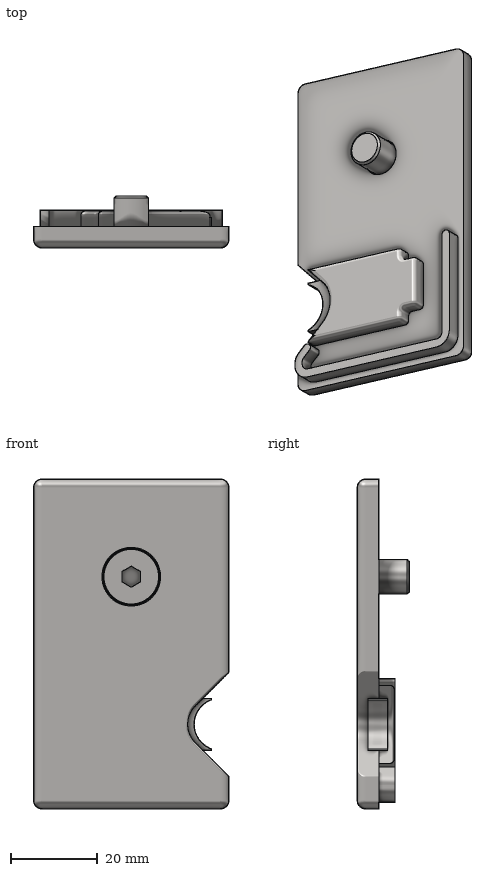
import cadquery as cq
import math


plate_width = 45.0
plate_height = 76.0
plate_depth = 5.0
plate_round = 2.0
plate_front_y = -plate_depth
plate_right = plate_width / 2
plate_bottom = -plate_height / 2

notch_z = -18.5
notch_tip_x = 10.5
notch_radius = 6.0
notch_edge_round = 0.5
notch_half_height = plate_right - notch_tip_x
diagonal = math.sqrt(2)

rib_inset = 1.5
rib_width = 2.0
rib_depth = 3.75
rib_corner_radius = 3.5
rib_left_top_z = -8.0
rib_right_end_x = 17.75

screw_z = 15.5
head_diameter = 13.0
head_height = 3.0
head_edge_chamfer = 0.2
head_pocket_diameter = 13.5
shank_diameter = 8.0
shank_hole_diameter = 8.4
shank_end_y = 7.0
shank_end_chamfer = 0.5
hex_across_flats = 4.2
hex_depth = 3.0

holder_depth = 3.5
holder_height = 18.0
holder_notch_gap = 1.0
holder_round = 1.0
shoulder_x = -7.6
tail_left_x = -11.6
tail_height = 12.0

blade_width = 12.0
blade_front_y = -2.5
blade_back_y = 2.0
blade_left_x = -4.0
blade_right_x = 18.5
mouth_radius = 6.0
mouth_x = 20.5

margin = 0.1


def rear_face(y):
    """Drawing plane at the given y, with X right and Z up; extrusions run from it towards the front (-Y)."""
    return cq.Workplane("XZ", origin=(0, y, 0))


def bar(x_left, x_right, y_front, y_back, height):
    """Box between the given X and Y limits, centred on the height of the notch."""
    return (
        rear_face(y_back)
        .center((x_left + x_right) / 2, notch_z)
        .rect(x_right - x_left, height)
        .extrude(y_back - y_front)
    )


def screw_disc(diameter, y_front, y_back):
    """Cylinder on the screw axis."""
    return rear_face(y_back).center(0, screw_z).circle(diameter / 2).extrude(y_back - y_front)


def notch_tool(gap, y_front, y_back):
    """Solid that cuts the notch, with its walls moved outwards by gap."""
    tip_x = notch_tip_x - gap * diagonal
    reach = plate_width
    wedge = (
        rear_face(y_back)
        .moveTo(tip_x, notch_z)
        .lineTo(tip_x + reach, notch_z + reach)
        .lineTo(tip_x + reach, notch_z - reach)
        .close()
        .extrude(y_back - y_front)
    )
    return wedge.edges("|Y and <X").fillet(notch_radius + gap)


def make_rib():
    """Strip down the left side, along the bottom, up the right side and back along the lower notch flank."""
    half = rib_width / 2
    side_x = plate_right - rib_inset - half
    bottom_z = plate_bottom + rib_inset + half
    bend = rib_corner_radius - half
    bend_mid = bend * (1 - 1 / diagonal)

    flank_sum = notch_tip_x + notch_z - (rib_inset + half) * diagonal
    half_turn = math.radians(45 / 2)
    turn_length = bend * math.tan(half_turn)
    turn_start_z = flank_sum - side_x - turn_length
    turn_mid_x = side_x - bend * (1 - math.cos(half_turn))
    turn_mid_z = turn_start_z + bend * math.sin(half_turn)
    turn_end_x = side_x - turn_length / diagonal

    centerline = (
        rear_face(rib_depth)
        .moveTo(-side_x, rib_left_top_z - half)
        .lineTo(-side_x, bottom_z + bend)
        .threePointArc((-side_x + bend_mid, bottom_z + bend_mid), (-side_x + bend, bottom_z))
        .lineTo(side_x - bend, bottom_z)
        .threePointArc((side_x - bend_mid, bottom_z + bend_mid), (side_x, bottom_z + bend))
        .lineTo(side_x, turn_start_z)
        .threePointArc((turn_mid_x, turn_mid_z), (turn_end_x, flank_sum - turn_end_x))
        .lineTo(rib_right_end_x, flank_sum - rib_right_end_x)
        .wire()
    )
    return centerline.offset2D(half).extrude(rib_depth)


def make_blank():
    """Plate with rounded corners, rounded front edges and the notch with its rounded front edge."""
    blank = (
        rear_face(0)
        .rect(plate_width, plate_height)
        .extrude(plate_depth)
        .edges("|Y")
        .fillet(plate_round)
        .faces("<Y")
        .edges()
        .fillet(plate_round)
        .cut(notch_tool(0, plate_front_y, 0))
    )
    notch_box = cq.selectors.BoxSelector(
        (notch_tip_x, plate_front_y - margin, notch_z - notch_half_height),
        (plate_right, plate_front_y + margin, notch_z + notch_half_height),
    )
    return blank.faces("<Y").edges(notch_box).edges("not(|Z)").fillet(notch_edge_round)


def make_housing():
    shank_hole = screw_disc(shank_hole_diameter, plate_front_y, 0)
    head_pocket = screw_disc(head_pocket_diameter, plate_front_y, plate_front_y + head_height)
    return make_blank().cut(shank_hole).cut(head_pocket).cut(blade_strip()).union(make_rib())


def make_screw():
    head_back_y = plate_front_y + head_height
    head = screw_disc(head_diameter, plate_front_y, head_back_y).faces("<Y").chamfer(head_edge_chamfer)
    shank = screw_disc(shank_diameter, head_back_y, shank_end_y).faces(">Y").chamfer(shank_end_chamfer)
    hex_socket = (
        rear_face(plate_front_y + hex_depth)
        .center(0, screw_z)
        .polygon(6, hex_across_flats, circumscribed=True)
        .extrude(hex_depth)
    )
    return head.union(shank).cut(hex_socket)


def make_holder():
    right_x = notch_tip_x - holder_notch_gap * diagonal + holder_height / 2
    body = bar(shoulder_x, right_x, 0, holder_depth, holder_height)
    tail = bar(tail_left_x, shoulder_x, 0, holder_depth, tail_height)
    left_corners = cq.selectors.BoxSelector(
        (tail_left_x - margin, 0, notch_z - holder_height),
        (shoulder_x + margin, holder_depth, notch_z + holder_height),
    )
    return (
        body.union(tail)
        .edges("|Y")
        .edges(left_corners)
        .fillet(holder_round)
        .cut(notch_tool(holder_notch_gap, 0, holder_depth))
        .faces(">Y")
        .edges()
        .fillet(holder_round)
        .cut(blade_strip())
    )


def blade_strip():
    """The blade without its mouth; it also cuts the matching recesses."""
    return bar(blade_left_x, blade_right_x, blade_front_y, blade_back_y, blade_width)


def make_blade():
    mouth = (
        rear_face(blade_back_y)
        .center(mouth_x, notch_z)
        .circle(mouth_radius)
        .extrude(blade_back_y - blade_front_y)
    )
    return blade_strip().cut(mouth)


housing = make_housing().solids()
screw = make_screw().solids()
holder = make_holder().solids()
blade = make_blade().solids()

result = cq.Compound.makeCompound([housing.val(), screw.val(), holder.val(), blade.val()])